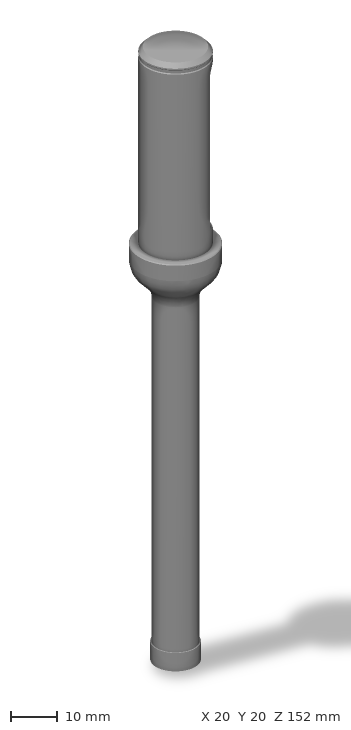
import cadquery as cq
import math

shank_diameter = 16.0
shank_length = 48.0
shank_chamfer = 1.0

groove_diameter = 15.6
groove_top_below_end = 1.35
groove_width = 1.1

flat_offset = 6.2
flat_top_below_end = 2.7
flat_bottom_above_seat = 2.9
flat_corner_radius = 3.3

collar_diameter = 20.0
collar_height = 4.0
collar_cone_angle = 42.0
collar_edge_chamfer = 0.2

neck_diameter = 10.3
neck_start_depth = 13.1
neck_fillet_radius = 4.2

drill_depth = 104.0
tip_diameter = 10.9
tip_land_length = 4.5
tip_point_angle = 145.0

shank_radius = shank_diameter / 2
groove_radius = groove_diameter / 2
collar_radius = collar_diameter / 2
neck_radius = neck_diameter / 2
tip_radius = tip_diameter / 2
groove_depth = shank_radius - groove_radius
groove_top = shank_length - groove_top_below_end
groove_bottom = groove_top - groove_width
tip_shoulder_z = -drill_depth + tip_radius / math.tan(math.radians(tip_point_angle / 2))
tip_seat_z = tip_shoulder_z + tip_land_length


def arc_point(center, radius, angle):
    """Point (r, z) on a circle, with the angle in degrees from the +r axis."""
    turn = math.radians(angle)
    return (center[0] + radius * math.cos(turn), center[1] + radius * math.sin(turn))


def revolved(profile):
    """Turn a closed (r, z) profile, drawn in the XZ plane, about the Z axis."""
    return profile.close().revolve(360, (0, 0, 0), (0, 1, 0))


def make_turned_holder():
    """Neck, fillet, smoothly curved cone up to the collar, and grooved shank, in one piece."""
    fillet_center = (neck_radius + neck_fillet_radius, -neck_start_depth)
    cone = collar_cone_angle
    cone_direction = (math.sin(math.radians(cone)), math.cos(math.radians(cone)))
    straight_up = (0, 1)
    profile = (
        cq.Workplane("XZ")
        .moveTo(0, tip_seat_z)
        .lineTo(neck_radius, tip_seat_z)
        .lineTo(neck_radius, -neck_start_depth)
        .threePointArc(
            arc_point(fillet_center, neck_fillet_radius, 180 - cone / 2),
            arc_point(fillet_center, neck_fillet_radius, 180 - cone),
        )
        .spline(
            [(collar_radius, -collar_height)],
            tangents=[cone_direction, straight_up],
            includeCurrent=True,
        )
        .lineTo(collar_radius, -collar_edge_chamfer)
        .lineTo(collar_radius - collar_edge_chamfer, 0)
        .lineTo(shank_radius, 0)
        .lineTo(shank_radius, groove_bottom)
        .lineTo(groove_radius, groove_bottom + groove_depth)
        .lineTo(groove_radius, groove_top - groove_depth)
        .lineTo(shank_radius, groove_top)
        .lineTo(shank_radius, shank_length - shank_chamfer)
        .lineTo(shank_radius - shank_chamfer, shank_length)
        .lineTo(0, shank_length)
    )
    return revolved(profile)


def make_flat_cutter():
    """Block that mills the clamping flat on the +Y side, with rounded inner corners."""
    flat_height = shank_length - flat_top_below_end - flat_bottom_above_seat
    return (
        cq.Workplane("XY")
        .box(shank_diameter, shank_diameter, flat_height, centered=(True, False, False))
        .edges("|X and <Y")
        .fillet(flat_corner_radius)
        .translate((0, flat_offset, flat_bottom_above_seat))
    )


def make_holder():
    """Turned holder with the clamping flat milled into its shank."""
    return make_turned_holder().cut(make_flat_cutter())


def make_tip():
    """Cutting tip: a short cylinder ending in a point."""
    profile = (
        cq.Workplane("XZ")
        .moveTo(0, tip_seat_z)
        .lineTo(tip_radius, tip_seat_z)
        .lineTo(tip_radius, tip_shoulder_z)
        .lineTo(0, -drill_depth)
    )
    return revolved(profile)


holder = make_holder()
tip = make_tip()

result = cq.Compound.makeCompound([holder.val(), tip.val()])